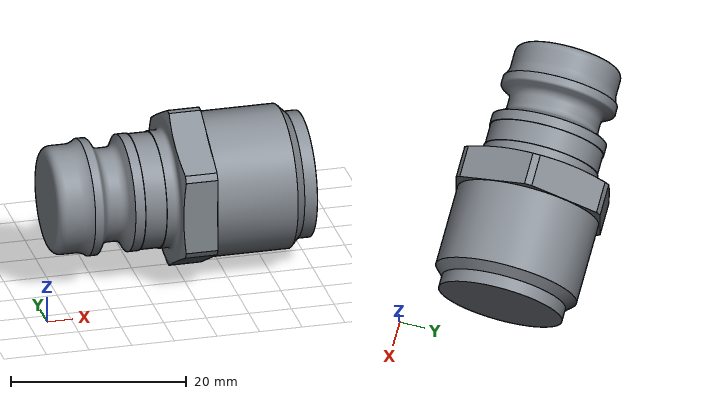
import cadquery as cq
import math


tip_flare_end = 4.1
groove_floor_start = 6.47
groove_floor_end = 7.45
relief_start = 10.0
relief_end = 12.5
hex_start = 14.0
hex_end = 18.0
total_length = 30.0

tip_diameter = 12.5
plug_diameter = 13.5
groove_diameter = 10.8
relief_diameter = 13.3
thread_diameter = 16.66
end_diameter = 14.6

hex_across_flats = 17.0
hex_corner_diameter = 19.15
hex_chamfer_angle = math.radians(15)

tip_round = 1.0
flare_radius = 2.0
groove_wall_angle = math.radians(60)
groove_floor_radius = 1.0
groove_lip_radius = 0.3
shoulder_fillet = 0.5
end_pin_length = 1.5

tip_radius = tip_diameter / 2
plug_radius = plug_diameter / 2
groove_radius = groove_diameter / 2
relief_radius = relief_diameter / 2
thread_radius = thread_diameter / 2
end_radius = end_diameter / 2
hex_corner_radius = hex_corner_diameter / 2


AXIS_START = (0, 0, 0)
AXIS_END = (1, 0, 0)


def arc_point(center, radius, angle):
    """Point on a circle at an angle measured from the +X direction."""
    return (center[0] + radius * math.cos(angle), center[1] + radius * math.sin(angle))


def make_plug():
    """Turned plug: rounded tip, flare, locking groove, shallow relief and shoulder fillet."""
    quarter_turn = math.pi / 2
    wall = groove_wall_angle

    tip_round_center = (tip_round, tip_radius - tip_round)
    flare_center_r = tip_radius + flare_radius
    flare_drop = flare_center_r - plug_radius
    flare_start = tip_flare_end - math.sqrt(flare_radius**2 - flare_drop**2)
    flare_center = (flare_start, flare_center_r)
    flare_sweep = math.acos(flare_drop / flare_radius)

    floor_center_r = groove_radius + groove_floor_radius
    front_floor_center = (groove_floor_start, floor_center_r)
    rear_floor_center = (groove_floor_end, floor_center_r)
    front_wall_bottom = arc_point(front_floor_center, groove_floor_radius, -quarter_turn - wall)
    rear_wall_bottom = arc_point(rear_floor_center, groove_floor_radius, -quarter_turn + wall)

    wall_run = (plug_radius - front_wall_bottom[1]) / math.tan(wall)
    front_corner = front_wall_bottom[0] - wall_run
    groove_end = rear_wall_bottom[0] + wall_run

    lip_start = front_corner - groove_lip_radius * math.tan(wall / 2)
    lip_center = (lip_start, plug_radius - groove_lip_radius)

    shoulder_center = (hex_start - shoulder_fillet, plug_radius + shoulder_fillet)

    return (
        cq.Workplane("XY")
        .moveTo(0, 0)
        .lineTo(0, tip_radius - tip_round)
        .threePointArc(arc_point(tip_round_center, tip_round, 0.75 * math.pi), (tip_round, tip_radius))
        .lineTo(flare_start, tip_radius)
        .threePointArc(
            arc_point(flare_center, flare_radius, -quarter_turn + flare_sweep / 2),
            (tip_flare_end, plug_radius),
        )
        .lineTo(lip_start, plug_radius)
        .threePointArc(
            arc_point(lip_center, groove_lip_radius, quarter_turn - wall / 2),
            arc_point(lip_center, groove_lip_radius, quarter_turn - wall),
        )
        .lineTo(*front_wall_bottom)
        .threePointArc(
            arc_point(front_floor_center, groove_floor_radius, -quarter_turn - wall / 2),
            (groove_floor_start, groove_radius),
        )
        .lineTo(groove_floor_end, groove_radius)
        .threePointArc(
            arc_point(rear_floor_center, groove_floor_radius, -quarter_turn + wall / 2),
            rear_wall_bottom,
        )
        .lineTo(groove_end, plug_radius)
        .lineTo(relief_start, plug_radius)
        .lineTo(relief_start, relief_radius)
        .lineTo(relief_end, relief_radius)
        .lineTo(relief_end, plug_radius)
        .lineTo(shoulder_center[0], plug_radius)
        .threePointArc(
            arc_point(shoulder_center, shoulder_fillet, -quarter_turn / 2),
            (hex_start, shoulder_center[1]),
        )
        .lineTo(hex_start, 0)
        .close()
        .revolve(360, AXIS_START, AXIS_END)
    )


def make_hexagon():
    """Wrench hexagon with corners on +Z and -Z, turned corners and a chamfered front face."""
    prism_corner_diameter = hex_across_flats / math.cos(math.pi / 6)
    prism = (
        cq.Workplane("YZ", origin=(hex_start, 0, 0))
        .transformed(rotate=(0, 0, 90))
        .polygon(6, prism_corner_diameter)
        .extrude(hex_end - hex_start)
    )

    flat_radius = hex_across_flats / 2
    chamfer_depth = (hex_corner_radius - flat_radius) * math.tan(hex_chamfer_angle)
    turned_envelope = (
        cq.Workplane("XY")
        .moveTo(hex_start, 0)
        .lineTo(hex_start, flat_radius)
        .lineTo(hex_start + chamfer_depth, hex_corner_radius)
        .lineTo(hex_end, hex_corner_radius)
        .lineTo(hex_end, 0)
        .close()
        .revolve(360, AXIS_START, AXIS_END)
    )
    return prism.intersect(turned_envelope)


def make_thread_body():
    """Plain cylinder behind the hexagon, with a 45 degree cone down to a short end pin."""
    cone_end = total_length - end_pin_length
    cone_start = cone_end - (thread_radius - end_radius)
    return (
        cq.Workplane("XY")
        .moveTo(hex_end, 0)
        .lineTo(hex_end, thread_radius)
        .lineTo(cone_start, thread_radius)
        .lineTo(cone_end, end_radius)
        .lineTo(total_length, end_radius)
        .lineTo(total_length, 0)
        .close()
        .revolve(360, AXIS_START, AXIS_END)
    )


result = make_plug().union(make_hexagon()).union(make_thread_body())